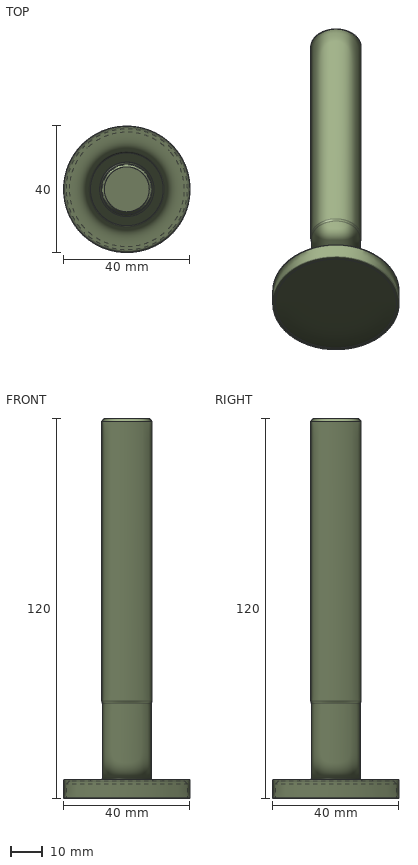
import cadquery as cq

TOTAL_HEIGHT = 120.0

COVER_DIAMETER = 40.0
COVER_HEIGHT = 6.0
COVER_ROOF = 0.5
OPENING_DIAMETER = 23.0
RIM_FILLET = 0.5
LIP_FILLET = 0.4
FLOOR_FILLET = 0.2

PLATE_DIAMETER = 38.24
PLATE_HEIGHT = COVER_HEIGHT - COVER_ROOF
PLATE_CHAMFER = 1.0

SHANK_DIAMETER = 15.5
ROOT_FILLET = 0.85
THREAD_DIAMETER = 15.99
THREAD_BOTTOM = 30.8
THREAD_RUNOUT = 0.8
TOP_CHAMFER = 0.9


def disc(diameter, height):
    """Round plate on the Z axis, standing on the ground plane."""
    return cq.Workplane("XY").circle(diameter / 2).extrude(height)


def make_plate():
    return disc(PLATE_DIAMETER, PLATE_HEIGHT).faces(">Z").chamfer(PLATE_CHAMFER)


def make_cover():
    shell = disc(COVER_DIAMETER, COVER_HEIGHT)
    shell = shell.faces(">Z").edges().fillet(RIM_FILLET)
    shell = shell.faces("<Z").edges().fillet(FLOOR_FILLET)
    shell = shell.cut(disc(OPENING_DIAMETER, COVER_HEIGHT))
    opening_edge = cq.selectors.RadiusNthSelector(0)
    shell = shell.faces(">Z").edges(opening_edge).fillet(LIP_FILLET)
    return shell.cut(make_plate()).solids()


def make_spindle():
    shank_radius = SHANK_DIAMETER / 2
    thread_radius = THREAD_DIAMETER / 2
    profile = (
        cq.Workplane("XZ")
        .moveTo(0, PLATE_HEIGHT)
        .lineTo(shank_radius + ROOT_FILLET, PLATE_HEIGHT)
        .radiusArc((shank_radius, PLATE_HEIGHT + ROOT_FILLET), ROOT_FILLET)
        .lineTo(shank_radius, THREAD_BOTTOM - THREAD_RUNOUT)
        .lineTo(thread_radius, THREAD_BOTTOM)
        .lineTo(thread_radius, TOTAL_HEIGHT - TOP_CHAMFER)
        .lineTo(thread_radius - TOP_CHAMFER, TOTAL_HEIGHT)
        .lineTo(0, TOTAL_HEIGHT)
        .close()
    )
    return profile.revolve(360, (0, 0), (0, 1))


plate = make_plate()
cover = make_cover()
spindle = make_spindle()
result = cq.Compound.makeCompound([plate.val(), cover.val(), spindle.val()])